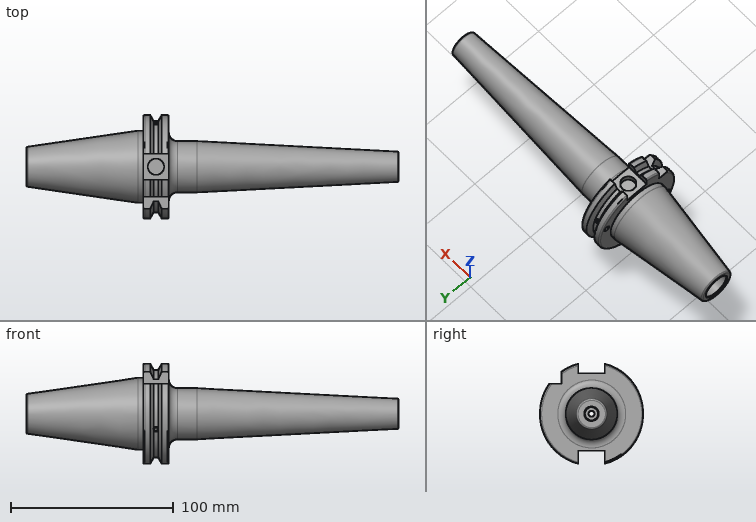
import cadquery as cq
import math


gauge_diameter = 44.45
taper_length = 68.4
taper_half_slope = 7 / 48
gauge_radius = gauge_diameter / 2
taper_end_radius = gauge_radius - taper_length * taper_half_slope
taper_end_fillet = 1.0

flange_radius = 63.55 / 2
flange_rear = 3.2
flange_front = 19.1
flange_width = flange_front - flange_rear
flange_edge_fillet = 1.0
groove_center = 11.1
groove_floor_radius = 56.25 / 2
groove_top_width = 7.07
groove_flank_angle = 30
groove_depth = flange_radius - groove_floor_radius
groove_floor_width = groove_top_width - 2 * groove_depth * math.tan(math.radians(groove_flank_angle))

slot_width = 16.1
upper_slot_floor = 25.0
lower_slot_floor = 22.8
notch_offset = 18.5
chip_diameter = 10.0
chip_depth = 4.6

nose_end = 160.0
neck_end = 36.0
neck_fillet = 5.0
nose_cone_angle = 3.0
nose_end_radius = 9.35
nose_end_fillet = 1.0
nose_cone_slope = math.tan(math.radians(nose_cone_angle))
neck_radius = nose_end_radius + (nose_end - neck_end) * nose_cone_slope

mouth_radius = 9.0
mouth_chamfer = 0.5
counterbore_radius = mouth_radius - mouth_chamfer
counterbore_depth = 9.0
thread_radius = 7.0
thread_depth = 32.0
bore_radius = 4.5
drill_point_angle = 59

screw_hole_radius = 1.75
screw_end_chamfer = 0.5
screw_socket_width = 5.0
screw_socket_depth = 4.0
screw_length = 12.0
screw_rear = 20.0

coolant_angles = (20, 200)
coolant_circle_radius = 27.0
coolant_hole_diameter = 4.0
coolant_hole_depth = 5.0
plug_diameter = 3.0
plug_length = 3.5
plug_recess = 0.3
plug_end_chamfer = 0.5
plug_outer_radius = groove_floor_radius - plug_recess


def revolve_about_x(profile):
    """Revolve a closed profile of (x, radius) points about the X axis."""
    return profile.close().revolve(360, (0, 0, 0), (1, 0, 0))


def holder_blank():
    half_top = groove_top_width / 2
    half_floor = groove_floor_width / 2
    neck_fillet_mid = neck_fillet * (1 - math.sqrt(0.5))
    flange_fillet_mid = flange_edge_fillet * (1 - math.sqrt(0.5))
    profile = (
        cq.Workplane("XY")
        .moveTo(-taper_length, 0)
        .lineTo(-taper_length, taper_end_radius)
        .lineTo(0, gauge_radius)
        .lineTo(flange_rear, gauge_radius)
        .lineTo(flange_rear, flange_radius - flange_edge_fillet)
        .threePointArc(
            (flange_rear + flange_fillet_mid, flange_radius - flange_fillet_mid),
            (flange_rear + flange_edge_fillet, flange_radius),
        )
        .lineTo(groove_center - half_top, flange_radius)
        .lineTo(groove_center - half_floor, groove_floor_radius)
        .lineTo(groove_center + half_floor, groove_floor_radius)
        .lineTo(groove_center + half_top, flange_radius)
        .lineTo(flange_front - flange_edge_fillet, flange_radius)
        .threePointArc(
            (flange_front - flange_fillet_mid, flange_radius - flange_fillet_mid),
            (flange_front, flange_radius - flange_edge_fillet),
        )
        .lineTo(flange_front, neck_radius + neck_fillet)
        .threePointArc(
            (flange_front + neck_fillet_mid, neck_radius + neck_fillet_mid),
            (flange_front + neck_fillet, neck_radius),
        )
        .lineTo(neck_end, neck_radius)
        .lineTo(nose_end, nose_end_radius)
        .lineTo(nose_end, 0)
    )
    blank = revolve_about_x(profile)
    blank = blank.faces("<X").edges().fillet(taper_end_fillet)
    return blank.faces(">X").edges().fillet(nose_end_fillet)


def axial_bore():
    rear = -taper_length
    counterbore_floor = rear + counterbore_depth
    thread_end = rear + thread_depth
    cone_end = thread_end + (thread_radius - bore_radius) / math.tan(math.radians(drill_point_angle))
    profile = (
        cq.Workplane("XY")
        .moveTo(rear, 0)
        .lineTo(rear, mouth_radius)
        .lineTo(rear + mouth_chamfer, counterbore_radius)
        .lineTo(counterbore_floor, counterbore_radius)
        .lineTo(counterbore_floor, thread_radius)
        .lineTo(thread_end, thread_radius)
        .lineTo(cone_end, bore_radius)
        .lineTo(nose_end, bore_radius)
        .lineTo(nose_end, 0)
    )
    return revolve_about_x(profile)


def flange_box(y_center, y_size, z_bottom, z_top):
    """Box across the full flange width, for cutting slots."""
    return (
        cq.Workplane("XY", origin=(flange_rear, y_center, z_bottom))
        .box(flange_width, y_size, z_top - z_bottom, centered=(False, True, False))
    )


def flange_cuts():
    notch_size = flange_radius - notch_offset
    upper_slot = flange_box(0, slot_width, upper_slot_floor, flange_radius)
    lower_slot = flange_box(0, slot_width, -flange_radius, -lower_slot_floor)
    notch = flange_box(-notch_offset - notch_size / 2, notch_size, notch_offset, flange_radius)
    chip_recess = (
        cq.Workplane("XY", origin=(groove_center, 0, upper_slot_floor))
        .circle(chip_diameter / 2)
        .extrude(-chip_depth)
    )
    return [upper_slot, lower_slot, notch, chip_recess]


def coolant_hole(angle):
    y = coolant_circle_radius * math.cos(math.radians(angle))
    z = coolant_circle_radius * math.sin(math.radians(angle))
    radius = coolant_hole_diameter / 2
    point_length = radius / math.tan(math.radians(drill_point_angle))
    profile = (
        cq.Workplane("XY")
        .moveTo(0, 0)
        .lineTo(0, radius)
        .lineTo(coolant_hole_depth, radius)
        .lineTo(coolant_hole_depth + point_length, 0)
    )
    return revolve_about_x(profile).translate((flange_rear, y, z))


def radial_cylinder(angle, diameter, inner_radius, outer_radius):
    """Cylinder pointing away from the X axis at the groove center."""
    cylinder = (
        cq.Workplane("XZ", origin=(groove_center, 0, 0))
        .circle(diameter / 2)
        .extrude(-(outer_radius - inner_radius))
        .translate((0, inner_radius, 0))
    )
    return cylinder.rotate((0, 0, 0), (1, 0, 0), angle)


def plug_hole(angle):
    return radial_cylinder(angle, plug_diameter, plug_outer_radius - plug_length, flange_radius)


def coolant_plug(angle):
    body = radial_cylinder(angle, plug_diameter, plug_outer_radius - plug_length, plug_outer_radius)
    return body.edges().chamfer(plug_end_chamfer)


def stop_screw():
    body = (
        cq.Workplane("YZ", origin=(screw_rear, 0, 0))
        .circle(bore_radius)
        .extrude(screw_length)
        .edges()
        .chamfer(screw_end_chamfer)
    )
    socket = (
        cq.Workplane("YZ", origin=(screw_rear, 0, 0))
        .polygon(6, screw_socket_width, circumscribed=True)
        .extrude(screw_socket_depth)
    )
    through_hole = (
        cq.Workplane("YZ", origin=(screw_rear, 0, 0))
        .circle(screw_hole_radius)
        .extrude(screw_length)
    )
    return body.cut(socket).cut(through_hole)


holder = holder_blank().cut(axial_bore())
for cutter in flange_cuts():
    holder = holder.cut(cutter)
for angle in coolant_angles:
    holder = holder.cut(coolant_hole(angle)).cut(plug_hole(angle))

plugs = [coolant_plug(angle) for angle in coolant_angles]
screw = stop_screw()

result = cq.Compound.makeCompound([holder.val(), screw.val(), *[plug.val() for plug in plugs]])